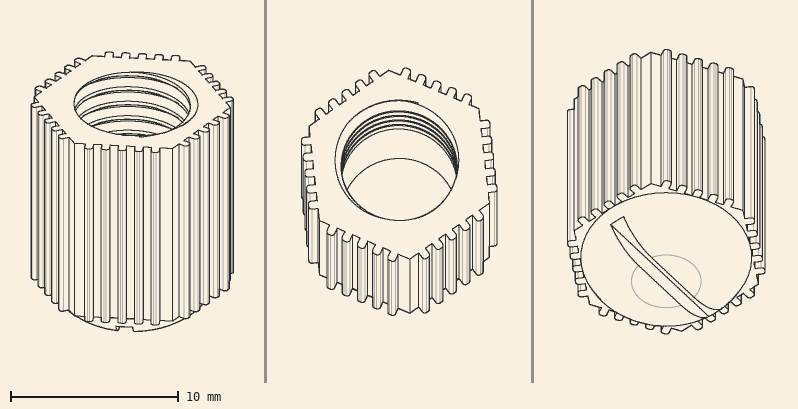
import cadquery as cq
import math

total_height = 14.2
body_height = 12.01
body_bottom = total_height - body_height

across_flats = 10.2
flat_distance = across_flats / 2
face_count = 6
corner_diameter = across_flats / math.cos(math.pi / face_count)
corner_angle = 90.0

rib_tip_distance = 5.65
rib_width = 0.5
rib_tip_radius = 0.18
rib_spacing = 1.0
ribs_per_face = 5
rib_row_shift = -0.05
rib_root_overlap = 0.28

foot_round_radius = 3.18
foot_round_drop = foot_round_radius - body_bottom
foot_round_run = math.sqrt(foot_round_radius**2 - foot_round_drop**2)
foot_flat_radius = flat_distance - foot_round_run

slot_width = 1.0
slot_depth = 1.35
slot_angle = 120.0

bore_radius = 3.46
bore_floor = body_bottom + 1.0
thread_major_radius = 4.0
thread_pitch = 1.01
thread_turns = 4.8
thread_start_angle = 65.0
runout_turns = 1
crest_flat = thread_pitch / 4
root_flat = thread_pitch / 8
thread_overlap = 0.07


def make_hex_body():
    body = cq.Workplane("XY").workplane(offset=body_bottom)
    body = body.polygon(face_count, corner_diameter).extrude(body_height)
    return body.rotate((0, 0, 0), (0, 0, 1), corner_angle)


def make_rib_row():
    """Row of ribs on the +X flat, with rounded outer edges."""
    root_distance = flat_distance - rib_root_overlap
    rib_length = rib_tip_distance - root_distance
    rib = (
        cq.Workplane("XY")
        .box(rib_length, rib_width, body_height, centered=(False, True, False))
        .edges("|Z and >X")
        .fillet(rib_tip_radius)
        .translate((root_distance, rib_row_shift, body_bottom))
    )
    row = cq.Workplane("XY")
    for index in range(ribs_per_face):
        offset = (index - (ribs_per_face - 1) / 2) * rib_spacing
        row = row.add(rib.translate((0, offset, 0)))
    return row


def make_ribs():
    """One row of ribs for each flat of the hexagon."""
    row = make_rib_row()
    ribs = cq.Workplane("XY")
    for face in range(face_count):
        ribs = ribs.add(row.rotate((0, 0, 0), (0, 0, 1), face * 360 / face_count))
    return ribs


def make_foot():
    """Revolved foot: flat underside with a large rounded edge."""
    middle_angle = math.acos(foot_round_drop / foot_round_radius) / 2
    middle_point = (
        foot_flat_radius + foot_round_radius * math.sin(middle_angle),
        foot_round_radius * (1 - math.cos(middle_angle)),
    )
    return (
        cq.Workplane("XZ")
        .lineTo(foot_flat_radius, 0)
        .threePointArc(middle_point, (flat_distance, body_bottom))
        .lineTo(0, body_bottom)
        .close()
        .revolve(360, (0, 0, 0), (0, 1, 0))
    )


def make_slot():
    """Straight slot, longer than the foot is wide at the slot floor."""
    slot = cq.Workplane("XY").box(across_flats, slot_width, slot_depth, centered=(True, True, False))
    return slot.rotate((0, 0, 0), (0, 0, 1), slot_angle)


def make_bore():
    bore = cq.Workplane("XY").workplane(offset=bore_floor)
    return bore.circle(bore_radius).extrude(total_height - bore_floor)


def make_thread_groove():
    """Trapezoidal right-hand groove that runs out through the top face."""
    start_height = total_height - thread_turns * thread_pitch
    helix_height = (thread_turns + runout_turns) * thread_pitch
    root_half = root_flat / 2
    mouth_half = (thread_pitch - crest_flat) / 2
    flank_slope = (mouth_half - root_half) / (thread_major_radius - bore_radius)
    inner_half = mouth_half + flank_slope * thread_overlap
    inner_radius = bore_radius - thread_overlap
    path = cq.Wire.makeHelix(thread_pitch, helix_height, bore_radius)
    groove = (
        cq.Workplane("XZ")
        .moveTo(inner_radius, -inner_half)
        .lineTo(thread_major_radius, -root_half)
        .lineTo(thread_major_radius, root_half)
        .lineTo(inner_radius, inner_half)
        .close()
        .sweep(cq.Workplane(path), isFrenet=True)
    )
    return groove.translate((0, 0, start_height)).rotate((0, 0, 0), (0, 0, 1), thread_start_angle)


result = make_hex_body().cut(make_thread_groove()).cut(make_bore())
result = result.union(make_foot()).cut(make_slot())
result = result.union(make_ribs())